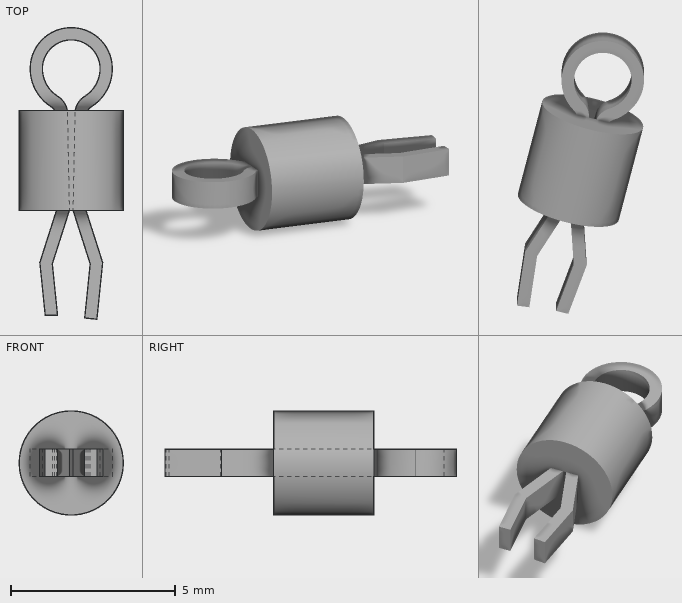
import cadquery as cq
import math

bead_diameter = 3.175
bead_length = 3.05
bead_end = bead_length / 2

wire_thickness = 0.38
wire_height = 0.838

loop_radius = 1.253
loop_center_y = 2.79
shoulder_radius = 1.37
shoulder_sweep = math.radians(58)
bend_inner_radius = 0.26

gap_half_width = 0.055
spread_angle = math.radians(17.7)
closing_angle = math.radians(5.8)
elbow_outer_y = -3.107
square_tip_y = -4.835
level_tip_y = -4.712

shoulder_center_x = loop_radius - shoulder_radius
bend_gap_radius = bend_inner_radius + wire_thickness
bend_distance = shoulder_radius + bend_inner_radius
bend_center_x = shoulder_center_x + bend_distance * math.cos(shoulder_sweep)
bend_center_y = loop_center_y - bend_distance * math.sin(shoulder_sweep)


def shoulder_point(radius, angle):
    """Point on a shoulder arc, with the angle measured down from +X."""
    return (
        shoulder_center_x + radius * math.cos(angle),
        loop_center_y - radius * math.sin(angle),
    )


def bend_point(radius, y):
    """Point at height y on the loop side of the reverse bend."""
    return (bend_center_x - math.sqrt(radius**2 - (y - bend_center_y) ** 2), y)


def half_circle_point(radius):
    """Middle of the quarter arc between the loop's crown and its side."""
    reach = radius * math.sqrt(0.5)
    return (reach, loop_center_y + reach)


def extrude_wire(outline):
    return outline.close().extrude(wire_height / 2, both=True)


def make_half_loop():
    inner_loop_radius = loop_radius - wire_thickness
    inner_shoulder_radius = shoulder_radius - wire_thickness
    outer_shoulder_end = shoulder_point(shoulder_radius, shoulder_sweep)
    inner_shoulder_end = shoulder_point(inner_shoulder_radius, shoulder_sweep)
    outer_bend_y = (outer_shoulder_end[1] + bead_end) / 2
    inner_bend_y = (inner_shoulder_end[1] + bead_end) / 2
    outline = (
        cq.Workplane("XY")
        .moveTo(0, loop_center_y + loop_radius)
        .threePointArc(half_circle_point(loop_radius), (loop_radius, loop_center_y))
        .threePointArc(shoulder_point(shoulder_radius, shoulder_sweep / 2), outer_shoulder_end)
        .threePointArc(
            bend_point(bend_inner_radius, outer_bend_y),
            bend_point(bend_inner_radius, bead_end),
        )
        .lineTo(*bend_point(bend_gap_radius, bead_end))
        .threePointArc(bend_point(bend_gap_radius, inner_bend_y), inner_shoulder_end)
        .threePointArc(
            shoulder_point(inner_shoulder_radius, shoulder_sweep / 2),
            (inner_loop_radius, loop_center_y),
        )
        .threePointArc(
            half_circle_point(inner_loop_radius),
            (0, loop_center_y + inner_loop_radius),
        )
    )
    return extrude_wire(outline)


def make_leg(outer_tip_y, inner_tip_y):
    """Leg on the +X side, from the bead face to a tip given by its two corner heights."""
    spread_width = wire_thickness / math.cos(spread_angle)
    closing_width = wire_thickness / math.cos(closing_angle)
    root_outer_x = gap_half_width + spread_width
    elbow_outer_x = root_outer_x + (-bead_end - elbow_outer_y) * math.tan(spread_angle)
    elbow_drop = (spread_width - closing_width) / (math.tan(spread_angle) + math.tan(closing_angle))
    elbow_inner_y = elbow_outer_y - elbow_drop

    def closing_x(y):
        return elbow_outer_x - (elbow_outer_y - y) * math.tan(closing_angle)

    outline = cq.Workplane("XY").polyline([
        (gap_half_width, -bead_end),
        (root_outer_x, -bead_end),
        (elbow_outer_x, elbow_outer_y),
        (closing_x(outer_tip_y), outer_tip_y),
        (closing_x(inner_tip_y) - closing_width, inner_tip_y),
        (closing_x(elbow_inner_y) - closing_width, elbow_inner_y),
    ])
    return extrude_wire(outline)


def make_bead():
    """Cylinder with the tapered gap between the two wire strands running through it."""
    neck_half_width = bend_point(bend_gap_radius, bead_end)[0]
    cylinder = (
        cq.Workplane("ZX", origin=(0, -bead_end, 0))
        .circle(bead_diameter / 2)
        .extrude(bead_length)
    )
    gap = extrude_wire(cq.Workplane("XY").polyline([
        (-gap_half_width, -bead_end),
        (gap_half_width, -bead_end),
        (neck_half_width, bead_end),
        (-neck_half_width, bead_end),
    ]))
    return cylinder.cut(gap)


half_loop = make_half_loop()
loop = half_loop.union(half_loop.mirror("YZ"))
square_tip_rise = wire_thickness * math.sin(closing_angle)
square_leg = make_leg(square_tip_y, square_tip_y + square_tip_rise)
level_leg = make_leg(level_tip_y, level_tip_y).mirror("YZ")

result = make_bead().union(loop).union(square_leg).union(level_leg)